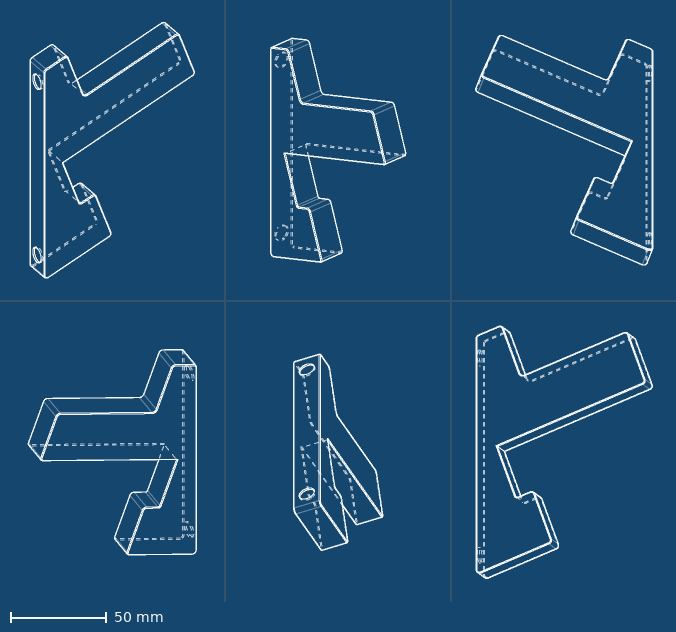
import cadquery as cq
import math

thickness = 15.0
tilt = 20.0
corner_radius = 2.0
notch_radius = 1.0
web_thickness = 11.62
edge_chamfer = 0.5

arm_length = 86.0
upper_post_offset = 24.5
hook_offset = 10.0

arm_height = 30.0
top_height = 60.0
notch_height = 29.8
bottom_depth = 60.0

recess_diameter = 8.5
recess_depth = 1.0
recess_spacing = 105.4
lower_recess_z = -56.2

cos_tilt = math.cos(math.radians(tilt))
sin_tilt = math.sin(math.radians(tilt))


def tilted_point(along, across):
    """Return the (Y, Z) point at a position in the tilted arm frame."""
    y = web_thickness + along * cos_tilt - across * sin_tilt
    z = along * sin_tilt + across * cos_tilt
    return y, z


def mounting_face_point(across):
    """Return the (Y, Z) point where a line parallel to the arm meets Y = 0."""
    along = (across * sin_tilt - web_thickness) / cos_tilt
    return tilted_point(along, across)


def make_body():
    """Extrude the outline, round every corner except the sharp notch root, and bevel the sides."""
    notch_root = tilted_point(0, 0)
    notch_floor_corner = tilted_point(0, -notch_height)
    rounded_corners = [
        mounting_face_point(top_height),
        tilted_point(upper_post_offset, top_height),
        tilted_point(upper_post_offset, arm_height),
        tilted_point(arm_length, arm_height),
        tilted_point(arm_length, 0),
        notch_floor_corner,
        tilted_point(hook_offset, -notch_height),
        tilted_point(hook_offset, -bottom_depth),
        mounting_face_point(-bottom_depth),
    ]
    root_position = rounded_corners.index(notch_floor_corner)
    outline = rounded_corners[:root_position] + [notch_root] + rounded_corners[root_position:]
    body = (
        cq.Workplane("YZ")
        .polyline(outline)
        .close()
        .extrude(thickness / 2, both=True)
    )
    for corner in rounded_corners:
        radius = notch_radius if corner == notch_floor_corner else corner_radius
        corner_edge = cq.selectors.NearestToPointSelector((0, *corner))
        body = body.edges("|X").edges(corner_edge).fillet(radius)
    return body.faces("<X or >X").chamfer(edge_chamfer)


def cut_recesses(body):
    """Cut the two blind round recesses into the mounting face."""
    recess_levels = [lower_recess_z, lower_recess_z + recess_spacing]
    for level in recess_levels:
        recess = cq.Solid.makeCylinder(
            recess_diameter / 2,
            recess_depth,
            cq.Vector(0, 0, level),
            cq.Vector(0, 1, 0),
        )
        body = body.cut(cq.Workplane(obj=recess))
    return body


result = cut_recesses(make_body())